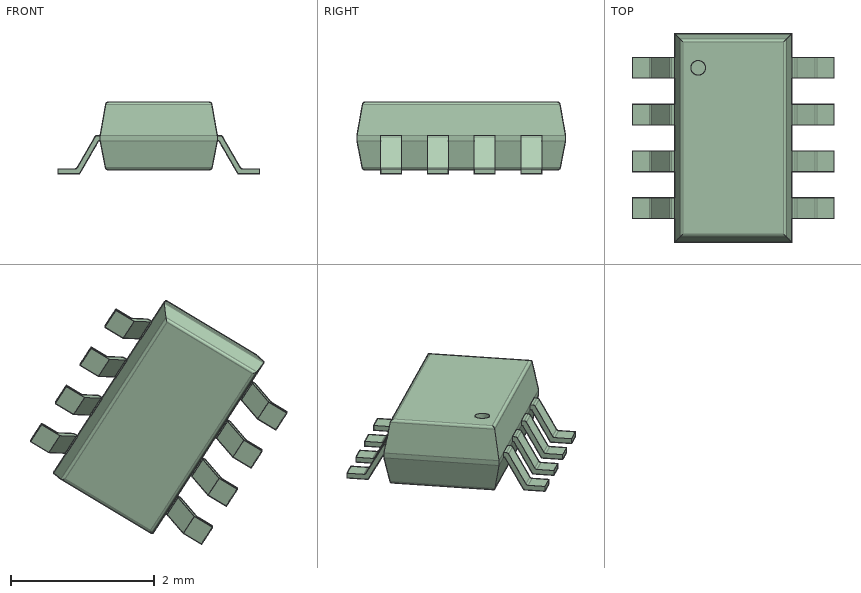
import cadquery as cq
import math

BODY_LENGTH = 2.9
BODY_WIDTH = 1.63
LEAD_SPAN = 2.8
HEIGHT = 1.0

STANDOFF = 0.055
UPPER_DRAFT = 10.0
LOWER_DRAFT = 11.0
EDGE_RADIUS = 0.044

MARKER_DIAMETER = 0.203
MARKER_DEPTH = 0.1
MARKER_INSET = 0.328

LEADS_PER_SIDE = 4
LEAD_PITCH = 0.65
LEAD_WIDTH = 0.29
LEAD_THICKNESS = 0.072
LEAD_TOP = 0.535
FOOT_LENGTH = 0.258
LEG_ANGLE = 60.0
BEND_RADIUS = 0.035

BELT_TOP = LEAD_TOP
BELT_BOTTOM = LEAD_TOP - LEAD_THICKNESS
LEAD_ROWS = [(i - (LEADS_PER_SIDE - 1) / 2) * LEAD_PITCH for i in range(LEADS_PER_SIDE)]


def belt_section(z):
    """Rectangular outline of the housing's belt at height z."""
    return cq.Workplane("XY").workplane(offset=z).rect(BODY_WIDTH, BODY_LENGTH)


def make_housing():
    """Belted block with drafted halves, rounded rims and a round pin 1 marker."""
    belt = belt_section(BELT_BOTTOM).extrude(LEAD_THICKNESS)
    upper = belt_section(BELT_TOP).extrude(HEIGHT - BELT_TOP, taper=UPPER_DRAFT)
    lower = belt_section(BELT_BOTTOM).extrude(STANDOFF - BELT_BOTTOM, taper=LOWER_DRAFT)
    upper = upper.faces(">Z").edges().fillet(EDGE_RADIUS)
    lower = lower.faces("<Z").edges().fillet(EDGE_RADIUS)
    marker = (
        cq.Workplane("XY")
        .workplane(offset=HEIGHT - MARKER_DEPTH)
        .center(MARKER_INSET - BODY_WIDTH / 2, LEAD_ROWS[-1])
        .circle(MARKER_DIAMETER / 2)
        .extrude(MARKER_DEPTH)
    )
    return belt.union(upper).union(lower).cut(marker)


def make_lead(row_y):
    """Gull-wing lead on the -X side, centred on row_y and ending at the belt."""
    toe_x = -LEAD_SPAN / 2
    belt_x = -BODY_WIDTH / 2
    heel_x = toe_x + FOOT_LENGTH
    knee_x = heel_x + BELT_BOTTOM / math.tan(math.radians(LEG_ANGLE))
    bend_shift = LEAD_THICKNESS * math.tan(math.radians(LEG_ANGLE / 2))
    outline = [
        (toe_x, 0),
        (heel_x + bend_shift, 0),
        (knee_x + bend_shift, BELT_BOTTOM),
        (belt_x, BELT_BOTTOM),
        (belt_x, LEAD_TOP),
        (knee_x, LEAD_TOP),
        (heel_x, LEAD_THICKNESS),
        (toe_x, LEAD_THICKNESS),
    ]
    lead = (
        cq.Workplane("XZ", origin=(0, row_y, 0))
        .polyline(outline)
        .close()
        .extrude(LEAD_WIDTH / 2, both=True)
    )
    for bend_x, bend_z in [(heel_x, LEAD_THICKNESS), (knee_x, LEAD_TOP)]:
        bend_edge = cq.selectors.NearestToPointSelector((bend_x, row_y, bend_z))
        lead = lead.edges(bend_edge).fillet(BEND_RADIUS)
    return lead


housing = make_housing()

leads = []
for row_y in LEAD_ROWS:
    left_lead = make_lead(row_y)
    leads.append(left_lead.val())
    leads.append(left_lead.mirror("YZ").val())

result = cq.Compound.makeCompound([housing.val(), *leads])